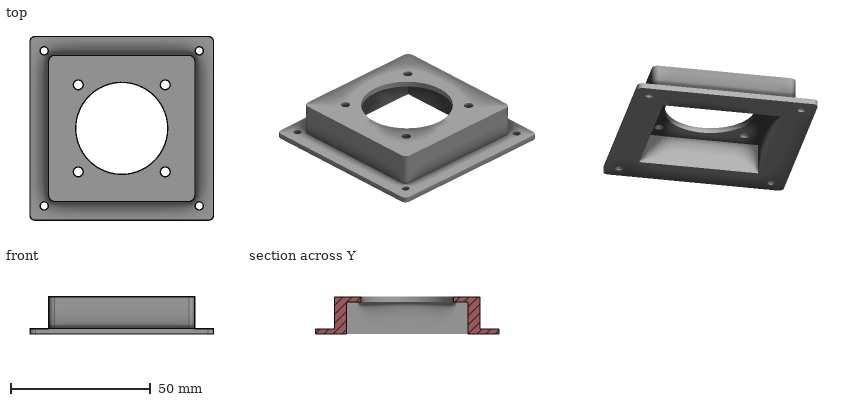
import cadquery as cq

flange_side = 65.8
flange_thickness = 2.0
flange_corner_radius = 2.0
flange_hole_spacing = 55.45
flange_hole_diameter = 2.8

total_height = 13.5
box_side = 52.25
box_corner_radius = 2.1
wall_thickness = 4.5
roof_thickness = 2.0

opening_diameter = 32.8
roof_hole_spacing = 31.1
roof_hole_diameter = 3.4


def rounded_square(side, height, corner_radius):
    """Square block standing on Z = 0 with rounded vertical edges."""
    block = cq.Workplane("XY").rect(side, side).extrude(height)
    return block.edges("|Z").fillet(corner_radius)


def square_hole_pattern(spacing, diameter):
    """Four full-height cylinders at the corners of a square."""
    corners = cq.Workplane("XY").rect(spacing, spacing, forConstruction=True).vertices()
    return corners.circle(diameter / 2).extrude(total_height)


flange = rounded_square(flange_side, flange_thickness, flange_corner_radius)
body = flange.union(rounded_square(box_side, total_height, box_corner_radius))

cavity_side = box_side - 2 * wall_thickness
cavity_height = total_height - roof_thickness
cavity = cq.Workplane("XY").rect(cavity_side, cavity_side).extrude(cavity_height)

opening = cq.Workplane("XY").circle(opening_diameter / 2).extrude(total_height)

result = (
    body.cut(cavity)
    .cut(opening)
    .cut(square_hole_pattern(roof_hole_spacing, roof_hole_diameter))
    .cut(square_hole_pattern(flange_hole_spacing, flange_hole_diameter))
)